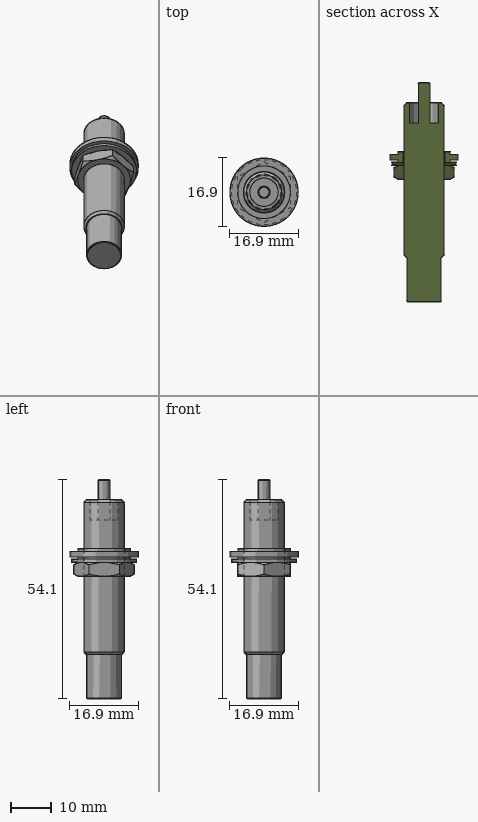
import cadquery as cq
import math

total_length = 54.1
barrel_diameter = 10.0
tail_diameter = 8.6
tail_length = 11.0
tail_chamfer = 0.2
barrel_edge_height = 0.65
barrel_top_diameter = 8.6
barrel_bottom_diameter = 8.9
pin_diameter = 3.0
pin_protrusion = 5.0
pin_chamfer = 0.2
bore_diameter = 7.0
bore_depth = 5.0

nut_bottom = 30.25
nut_height = 3.4
nut_across_flats = 13.0
nut_sides = 6
nut_chamfer_angle = 30.0
washer_thickness = 0.8
washer_diameter = 16.0
collar_diameter = 13.0
collar_lower_height = 0.5
collar_upper_height = 0.65
flange_diameter = 16.9
flange_thickness = 1.45
clearance_diameter = 10.2

barrel_top = total_length - pin_protrusion
washer_bottom = nut_bottom + nut_height
collar_bottom = washer_bottom + washer_thickness
flange_bottom = collar_bottom + collar_lower_height


def disc(diameter, bottom, height):
    """Solid cylinder on the Z axis."""
    return cq.Workplane("XY").workplane(offset=bottom).circle(diameter / 2).extrude(height)


def make_housing():
    """Turned barrel, tail and pin in one piece, with an annular bore around the pin."""
    barrel_radius = barrel_diameter / 2
    tail_radius = tail_diameter / 2
    pin_radius = pin_diameter / 2
    bore_radius = bore_diameter / 2
    bore_floor = barrel_top - bore_depth
    profile = [
        (0, 0),
        (tail_radius - tail_chamfer, 0),
        (tail_radius, tail_chamfer),
        (tail_radius, tail_length),
        (barrel_bottom_diameter / 2, tail_length),
        (barrel_radius, tail_length + barrel_edge_height),
        (barrel_radius, barrel_top - barrel_edge_height),
        (barrel_top_diameter / 2, barrel_top),
        (bore_radius, barrel_top),
        (bore_radius, bore_floor),
        (pin_radius, bore_floor),
        (pin_radius, total_length - pin_chamfer),
        (pin_radius - pin_chamfer, total_length),
        (0, total_length),
    ]
    return cq.Workplane("XZ").polyline(profile).close().revolve(360, (0, 0), (0, 1))


def make_nut():
    """Hexagon nut with flats facing +X and -X, and conical chamfers on both ends."""
    corner_diameter = nut_across_flats / math.cos(math.pi / nut_sides)
    face_radius = nut_across_flats / 2
    corner_radius = corner_diameter / 2
    chamfer_height = (corner_radius - face_radius) * math.tan(math.radians(nut_chamfer_angle))
    hexagon = (
        cq.Workplane("XY")
        .workplane(offset=nut_bottom)
        .transformed(rotate=(0, 0, 180 / nut_sides))
        .polygon(nut_sides, corner_diameter)
        .extrude(nut_height)
    )
    chamfered_blank = (
        disc(corner_diameter, nut_bottom, nut_height)
        .faces("<Z or >Z")
        .chamfer(chamfer_height, corner_radius - face_radius)
    )
    bore = disc(barrel_diameter, nut_bottom, nut_height)
    return hexagon.intersect(chamfered_blank).cut(bore)


def make_washer():
    """Flat washer resting on the nut."""
    bore = disc(clearance_diameter, washer_bottom, washer_thickness)
    return disc(washer_diameter, washer_bottom, washer_thickness).cut(bore)


def make_flanged_ring():
    """Collar with a wider flange, standing on the washer."""
    collar_height = collar_lower_height + flange_thickness + collar_upper_height
    collar = disc(collar_diameter, collar_bottom, collar_height)
    flange = disc(flange_diameter, flange_bottom, flange_thickness)
    bore = disc(clearance_diameter, collar_bottom, collar_height)
    return collar.union(flange).cut(bore)


housing = make_housing()
nut = make_nut().solids()
washer = make_washer().solids()
flanged_ring = make_flanged_ring().solids()

result = cq.Compound.makeCompound([housing.val(), nut.val(), washer.val(), flanged_ring.val()])